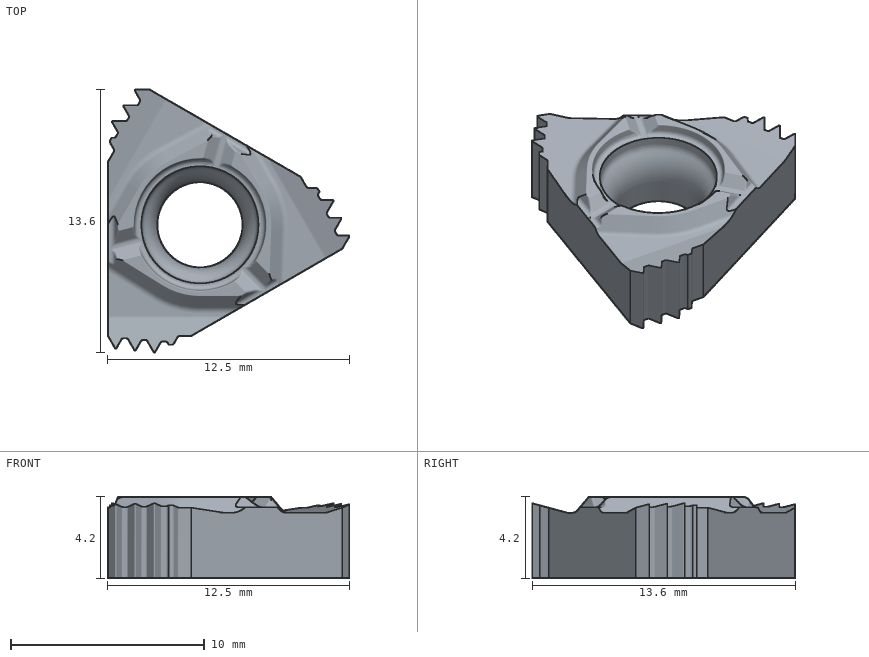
import cadquery as cq
import math

CORNERS = 3
INSCRIBED_RADIUS = 9.525 / 2
HEIGHT = 4.2
REACH = 20.0

FLANK_ANGLE = 60.0
TOOTH_COUNT = 3
TOOTH_PITCH = 1.0
TOOTH_STEP = 0.1025
FIRST_TIP_X = -4.36
FIRST_TIP_Y = -6.41
TIP_RADIUS = 0.05
FIRST_ROOT_Y = -5.885
ROOT_STEP = 0.085
ROOT_RADIUS = 0.1
END_TOOTH_X = -1.5
END_TOOTH_Y = -6.22
END_TOOTH_FLAT = 0.23
END_TOOTH_RADIUS = 0.16
SHOULDER_RADIUS = 0.14
SHOULDER_Y = -5.76

FLOOR_Z = 3.38
RAMP_START = 4.77
RAMP_ANGLE = 15.0
CREASE_RADIUS = 0.38

BOSS_RADIUS = 3.69
BOSS_ARC_START = -122.0
BOSS_ARC_END = -90.0
BOSS_WALL_ANGLE = 50.0
BOSS_FOOT_RADIUS = 0.42

GROOVE_DIRECTION = 194.6
GROOVE_TOP_HALF_WIDTH = 0.755
GROOVE_WALL_ANGLE = 41.0
GROOVE_BOTTOM_Z = 3.66
GROOVE_RADIUS = 0.24
GROOVE_OUTER_ROUND = 0.12
GROOVE_INNER_ROUND = 0.1
GROOVE_END_RISE = 0.2
LEDGE_WALL_ANGLE = 68.0
LEDGE_CORNER_X = -4.468
LEDGE_RADIUS = 0.25
LEDGE_START_Y = -2.3
LEDGE_END_Y = 0.75

HOLE_RADIUS = 4.4 / 2
SEAT_BOTTOM_Z = 1.38
SEAT_RADIUS = 2.85
SEAT_ANGLE = 45.0
BLEND_RADIUS = 0.49
BORE_SLOPE = 6.0
STEP_Z = GROOVE_BOTTOM_Z
STEP_ROUND = 0.25
MOUTH_RADIUS = 3.43
MOUTH_SLOPE = 10.0
EDGE_ROUND = 0.04


def tan_deg(angle):
    return math.tan(math.radians(angle))


def polar(radius, angle):
    return cq.Vector(radius * math.cos(math.radians(angle)), radius * math.sin(math.radians(angle)))


def turned(shape, index):
    return shape.rotate((0, 0, 0), (0, 0, 1), index * 360 / CORNERS)


def around(shape):
    """The shape repeated at every corner, joined together."""
    joined = shape
    for index in range(1, CORNERS):
        joined = joined.union(turned(shape, index))
    return joined


def rounded_outline(plane, corners):
    """Closed outline through (point, radius) corners; a radius of 0 leaves the corner sharp."""
    pieces = []
    for index, (point, radius) in enumerate(corners):
        to_last = (corners[index - 1][0] - point).normalized()
        to_next = (corners[(index + 1) % len(corners)][0] - point).normalized()
        half_angle = to_last.getAngle(to_next) / 2
        setback = radius / math.tan(half_angle)
        bisector = (to_last + to_next).normalized()
        middle = point + bisector * (radius / math.sin(half_angle) - radius)
        pieces.append((radius, point + to_last * setback, middle, point + to_next * setback))
    sketch = cq.Workplane(plane).moveTo(pieces[0][3].x, pieces[0][3].y)
    for radius, start, middle, end in pieces[1:] + pieces[:1]:
        sketch = sketch.lineTo(start.x, start.y)
        if radius > 0:
            sketch = sketch.threePointArc((middle.x, middle.y), (end.x, end.y))
    return sketch.close()


def corner_outline():
    """Sharp points and radii of the corner pointing to -Y, from its left side to its right side."""
    flank = tan_deg(FLANK_ANGLE)
    tips = []
    for index in range(TOOTH_COUNT):
        apex_y = FIRST_TIP_Y - TIP_RADIUS - index * TOOTH_STEP
        tips.append((FIRST_TIP_X + index * TOOTH_PITCH, apex_y))

    start_y = tips[0][1] + (tips[0][0] + INSCRIBED_RADIUS) * flank
    corners = [(cq.Vector(-INSCRIBED_RADIUS, start_y), 0)]
    end_left = END_TOOTH_X - END_TOOTH_FLAT / 2
    end_right = END_TOOTH_X + END_TOOTH_FLAT / 2
    for index, (tip_x, tip_y) in enumerate(tips):
        root_y = FIRST_ROOT_Y - index * ROOT_STEP
        root_left = tip_x + (root_y - tip_y) / flank
        if index + 1 < TOOTH_COUNT:
            next_x, next_y = tips[index + 1]
        else:
            next_x, next_y = end_left, END_TOOTH_Y
        root_right = next_x - (root_y - next_y) / flank
        corners.append((cq.Vector(tip_x, tip_y), TIP_RADIUS))
        corners.append((cq.Vector(root_left, root_y), ROOT_RADIUS))
        corners.append((cq.Vector(root_right, root_y), ROOT_RADIUS))

    shoulder_x = end_right + (SHOULDER_Y - END_TOOTH_Y) / flank
    side_normal = polar(1, 180 + 360 / CORNERS)
    side_x = (INSCRIBED_RADIUS - SHOULDER_Y * side_normal.y) / side_normal.x
    corners.append((cq.Vector(end_left, END_TOOTH_Y), 0))
    corners.append((cq.Vector(end_right, END_TOOTH_Y), END_TOOTH_RADIUS))
    corners.append((cq.Vector(shoulder_x, SHOULDER_Y), SHOULDER_RADIUS))
    corners.append((cq.Vector(side_x, SHOULDER_Y), 0))
    return corners


def make_prism():
    corners = []
    for index in range(CORNERS):
        turn = math.radians(index * 360 / CORNERS)
        for point, radius in corner_outline():
            turned_point = cq.Vector(
                point.x * math.cos(turn) - point.y * math.sin(turn),
                point.x * math.sin(turn) + point.y * math.cos(turn),
            )
            corners.append((turned_point, radius))
    return rounded_outline("XY", corners).extrude(HEIGHT)


def make_boss():
    """Tapered boss: three arcs about the hole joined by tangent lines that meet in three points."""
    gap = 360 / CORNERS - (BOSS_ARC_END - BOSS_ARC_START)
    arc_middle = (BOSS_ARC_START + BOSS_ARC_END) / 2
    point_radius = BOSS_RADIUS / math.cos(math.radians(gap / 2))
    sketch = cq.Workplane("XY").workplane(offset=HEIGHT)
    start = polar(BOSS_RADIUS, BOSS_ARC_START)
    sketch = sketch.moveTo(start.x, start.y)
    for index in range(CORNERS):
        turn = index * 360 / CORNERS
        middle = polar(BOSS_RADIUS, arc_middle + turn)
        end = polar(BOSS_RADIUS, BOSS_ARC_END + turn)
        point = polar(point_radius, BOSS_ARC_END + gap / 2 + turn)
        sketch = sketch.threePointArc((middle.x, middle.y), (end.x, end.y)).lineTo(point.x, point.y)
        if index + 1 < CORNERS:
            following = polar(BOSS_RADIUS, BOSS_ARC_START + turn + 360 / CORNERS)
            sketch = sketch.lineTo(following.x, following.y)
    return sketch.close().extrude(FLOOR_Z - HEIGHT, taper=BOSS_WALL_ANGLE - 90)


def make_ramp():
    """Wedge on the floor of the corner pointing to -Y, with a rounded crease along its foot."""
    foot = cq.Vector(-RAMP_START, FLOOR_Z)
    top = cq.Vector(-REACH, FLOOR_Z + (REACH - RAMP_START) * tan_deg(RAMP_ANGLE))
    inner = cq.Vector(-RAMP_START + 2 * CREASE_RADIUS * tan_deg(RAMP_ANGLE / 2), FLOOR_Z)
    outline = [
        (foot, CREASE_RADIUS),
        (top, 0),
        (cq.Vector(-REACH, 0), 0),
        (cq.Vector(inner.x, 0), 0),
        (inner, 0),
    ]
    return rounded_outline("YZ", outline).extrude(REACH, both=True)


def make_envelope():
    """Oversized body whose upper surface is the upper surface of the insert."""
    floor = cq.Workplane("XY").circle(REACH).extrude(FLOOR_Z)
    margin = 0.01
    boss_foot = cq.selectors.BoxSelector(
        (-REACH / 2, -REACH / 2, FLOOR_Z - margin), (REACH / 2, REACH / 2, FLOOR_Z + margin)
    )
    body = floor.union(make_boss()).edges(boss_foot).fillet(BOSS_FOOT_RADIUS)
    return body.union(around(make_ramp()))


def make_groove():
    """V groove running outward from the hole, with a narrow flat bottom and rounded corners."""
    slope = tan_deg(GROOVE_WALL_ANGLE)
    above = HEIGHT - GROOVE_BOTTOM_Z
    bottom = GROOVE_TOP_HALF_WIDTH - above / slope
    outline = [
        (cq.Vector(-GROOVE_TOP_HALF_WIDTH - above / slope, HEIGHT + above), 0),
        (cq.Vector(-bottom, GROOVE_BOTTOM_Z), GROOVE_RADIUS),
        (cq.Vector(bottom, GROOVE_BOTTOM_Z), GROOVE_RADIUS),
        (cq.Vector(GROOVE_TOP_HALF_WIDTH + above / slope, HEIGHT + above), 0),
    ]
    groove = rounded_outline("YZ", outline).extrude(INSCRIBED_RADIUS * 2)
    return groove.rotate((0, 0, 0), (0, 0, 1), GROOVE_DIRECTION)


def make_ledge():
    """Cutter for the ledge along the side facing -X."""
    above = HEIGHT - GROOVE_BOTTOM_Z
    top_x = LEDGE_CORNER_X + 2 * above / tan_deg(LEDGE_WALL_ANGLE)
    outline = [
        (cq.Vector(-REACH, GROOVE_BOTTOM_Z), 0),
        (cq.Vector(LEDGE_CORNER_X, GROOVE_BOTTOM_Z), LEDGE_RADIUS),
        (cq.Vector(top_x, HEIGHT + above), 0),
        (cq.Vector(-REACH, HEIGHT + above), 0),
    ]
    length = LEDGE_END_Y - LEDGE_START_Y
    return rounded_outline("XZ", outline).extrude(-length).translate((0, LEDGE_START_Y, 0))


def make_hole():
    """Hole cutter: cylinder, rounded seat, short bore, then a step inside the flared mouth."""
    flat_share = 1 - math.cos(math.radians(SEAT_ANGLE))
    rise_share = math.sin(math.radians(SEAT_ANGLE))
    seat_curve = (SEAT_RADIUS - HOLE_RADIUS) / flat_share
    seat_top = SEAT_BOTTOM_Z + seat_curve * rise_share
    seat_center = cq.Vector(HOLE_RADIUS + seat_curve, SEAT_BOTTOM_Z)
    seat_middle = seat_center + polar(seat_curve, 180 - SEAT_ANGLE / 2)
    blend_center = cq.Vector(SEAT_RADIUS, seat_top) + polar(BLEND_RADIUS, 180 - SEAT_ANGLE)
    blend_middle = blend_center + polar(BLEND_RADIUS, -(SEAT_ANGLE + BORE_SLOPE) / 2)
    blend_end = blend_center + polar(BLEND_RADIUS, -BORE_SLOPE)
    lip_radius = blend_end.x + (STEP_Z - blend_end.y) * tan_deg(BORE_SLOPE)
    wall_foot = MOUTH_RADIUS - (HEIGHT - STEP_Z) * tan_deg(MOUTH_SLOPE)
    step_setback = STEP_ROUND * tan_deg(45 - MOUTH_SLOPE / 2)
    step_center = cq.Vector(wall_foot - step_setback, STEP_Z + STEP_ROUND)
    step_middle = step_center + polar(STEP_ROUND, -45 - MOUTH_SLOPE / 2)
    step_end = step_center + polar(STEP_ROUND, -MOUTH_SLOPE)
    return (
        cq.Workplane("XZ")
        .lineTo(HOLE_RADIUS, 0)
        .lineTo(HOLE_RADIUS, SEAT_BOTTOM_Z)
        .threePointArc((seat_middle.x, seat_middle.y), (SEAT_RADIUS, seat_top))
        .threePointArc((blend_middle.x, blend_middle.y), (blend_end.x, blend_end.y))
        .lineTo(lip_radius, STEP_Z)
        .lineTo(step_center.x, STEP_Z)
        .threePointArc((step_middle.x, step_middle.y), (step_end.x, step_end.y))
        .lineTo(MOUTH_RADIUS, HEIGHT)
        .lineTo(0, HEIGHT)
        .close()
        .revolve(360, (0, 0, 0), (0, 1, 0))
    )


def round_groove_ends(body, inner_radius, outer_radius, round_radius):
    """Round the sloping edges where the groove walls end, between two distances from the hole axis."""
    sector = 360 / CORNERS
    half_sector = math.degrees(math.asin(GROOVE_TOP_HALF_WIDTH / inner_radius))
    chosen = []
    for edge in body.edges().vals():
        center = edge.Center()
        distance = math.hypot(center.x, center.y)
        turn = math.degrees(math.atan2(center.y, center.x)) - GROOVE_DIRECTION
        off_axis = abs((turn + sector / 2) % sector - sector / 2)
        rise = abs(edge.startPoint().z - edge.endPoint().z)
        in_reach = inner_radius < distance < outer_radius and off_axis < half_sector
        if in_reach and center.z > GROOVE_BOTTOM_Z and rise > GROOVE_END_RISE:
            chosen.append(edge)
    return cq.Workplane(body.val().fillet(round_radius, chosen))


body = make_prism().intersect(make_envelope())
body = body.cut(around(make_ledge()))
body = body.cut(around(make_groove()))
body = body.cut(make_hole())
body = round_groove_ends(body, MOUTH_RADIUS, INSCRIBED_RADIUS, GROOVE_OUTER_ROUND)
body = round_groove_ends(body, SEAT_RADIUS, MOUTH_RADIUS, GROOVE_INNER_ROUND)
result = body.faces(">Z").edges().fillet(EDGE_ROUND)